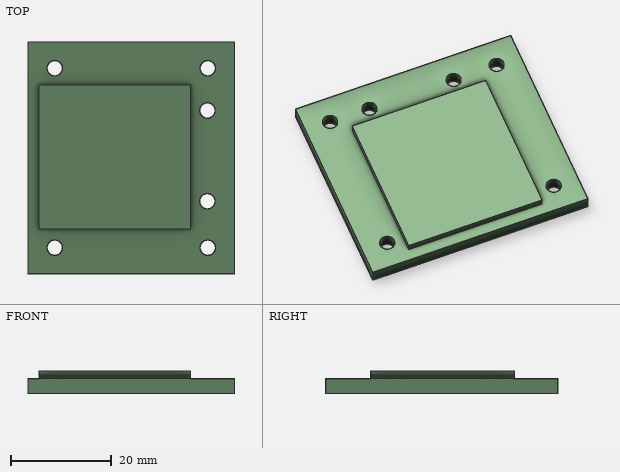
import cadquery as cq

plate_length = 41.0
plate_width = 46.0
plate_thickness = 3.0

pad_length = 30.0
pad_width = 28.5
pad_height = 1.5
pad_left = 2.25
pad_front = 8.9

hole_diameter = 3.0
corner_hole_left_x = 5.33
corner_hole_right_x = 35.67
inner_hole_x = 35.6
corner_hole_front_y = 5.17
corner_hole_rear_y = 40.75
inner_hole_front_y = 14.38
inner_hole_rear_y = 32.38

hole_centers = [
    (corner_hole_left_x, corner_hole_front_y),
    (corner_hole_left_x, corner_hole_rear_y),
    (corner_hole_right_x, corner_hole_front_y),
    (inner_hole_x, inner_hole_front_y),
    (inner_hole_x, inner_hole_rear_y),
    (corner_hole_right_x, corner_hole_rear_y),
]


def make_plate():
    """Flat rectangular base plate."""
    return cq.Workplane("XY").box(plate_length, plate_width, plate_thickness, centered=False)


def make_pad():
    """Raised pad standing on the plate."""
    pad = cq.Workplane("XY").box(pad_length, pad_width, pad_height, centered=False)
    return pad.translate((pad_left, pad_front, plate_thickness))


def make_holes():
    """Cylinders that cut the holes through the plate."""
    return cq.Workplane("XY").pushPoints(hole_centers).circle(hole_diameter / 2).extrude(plate_thickness)


result = make_plate().union(make_pad()).cut(make_holes())